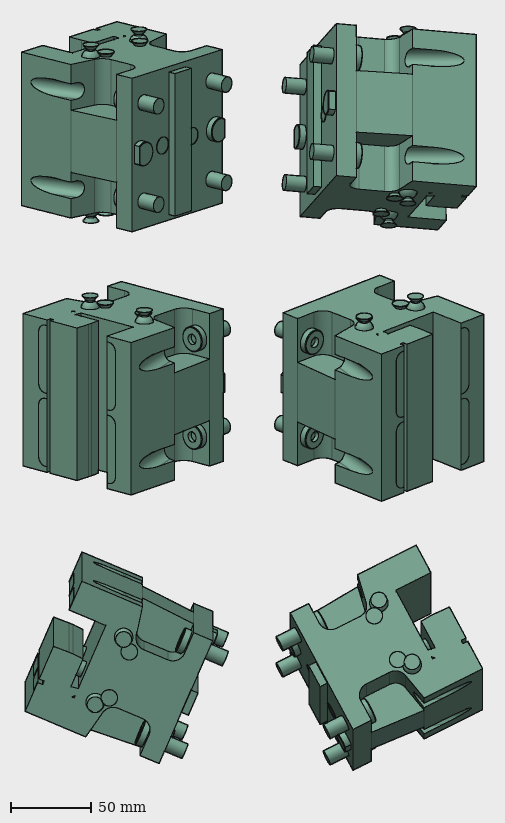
import cadquery as cq
import math


BODY_HEIGHT = 100.0
TOP_Z = BODY_HEIGHT / 2
FLANGE_FACE_X = 90.0
FLANGE_THICKNESS = 13.0
FLANGE_BACK_X = FLANGE_FACE_X - FLANGE_THICKNESS
HEAD_END_X = 41.2
HEAD_HALF_WIDTH = 45.0
FLANGE_HALF_WIDTH = 42.5

WEB_HALF = 20.25
POCKET_WALL_RUN = 4.9
POCKET_FILLET = 8.0

SLOT_HALF_WIDTH = 25.0
SLOT_DEPTH = 24.8
WEDGE_LENGTH = 20.1
GAP_OUTER_Y = 19.3
GAP_INNER_Y = 18.5
WEDGE_CREST_START_X = 10.5
WEDGE_CREST_END_X = 13.2
WEDGE_CREST_RISE = 0.4
WEDGE_TIP_CHAMFER = 1.6
GROOVE_WIDTH = 2.4
GROOVE_DEPTH = 3.4
CLAMP_SCREW_DIAMETER = 10.3
CLAMP_SCREW_Y = 10.4
CLAMP_SCREW_Z = 25.0

PANEL_WIDTH = 64.0
PANEL_HEIGHT = 44.5
PANEL_Z = 24.0
PANEL_RADIUS = 5.5
PANEL_DEPTH = 0.1

BOLT_OFFSET = 32.0
BOLT_DIAMETER = 10.0
BOLT_END_X = 103.0
BOLT_HEAD_DIAMETER = 16.2
BOLT_HEAD_HEIGHT = 4.7
BOLT_HEAD_CHAMFER = 0.5
SOCKET_DIAMETER = 6.6
SOCKET_DEPTH = 3.0
FLUTE_RADIUS = 5.35
FLUTE_ANGLE = 16.5
FLUTE_NOSE_X = 7.9
FLUTE_END_X = 55.0

KEY_WIDTH = 15.4
LONG_KEY_LENGTH = 92.8
LONG_KEY_HEIGHT = 5.0
SIDE_KEY_Y = 35.25
SIDE_KEY_FLAT_Y = 40.2
SIDE_KEY_HEIGHT = 4.5
SIDE_KEY_CHAMFER = 0.4
SEAL_DIAMETER = 11.0
SEAL_HEIGHT = 0.4
SEAL_Y = 13.9

NOZZLE_X = 38.0
NOZZLE_Y = 22.55
NOZZLE_TOP_Z = 57.55
BALL_RADIUS = 6.0
BALL_CENTRE_Z = 48.5
BALL_FLAT_Z = 53.8
NECK_RADIUS = 2.8
NECK_TOP_Z = 54.7
FLARE_RADIUS = 5.0
RIM_THICKNESS = 0.2
PLUG_X = 44.7
PLUG_Y = 15.9
PLUG_TOP_Z = 52.8
PLUG_BASE_RADIUS = 3.4
PLUG_RIM_RADIUS = 5.2
PLUG_RIM_THICKNESS = 0.4
ROOT = 1.0
CLEAR = 5.0


def prism(points, bottom_z=-TOP_Z, height=BODY_HEIGHT):
    return cq.Workplane("XY").workplane(offset=bottom_z).polyline(points).close().extrude(height)


def x_cylinder(start_x, end_x, diameter, y, z):
    return cq.Workplane("YZ", origin=(start_x, y, z)).circle(diameter / 2).extrude(end_x - start_x)


def box_between(low, high):
    size = [b - a for a, b in zip(low, high)]
    return cq.Workplane("XY").box(*size, centered=False).translate(low)


def with_mirror(shape, plane):
    return shape.union(shape.mirror(plane))


def make_body():
    upper_side = [
        (0, HEAD_HALF_WIDTH),
        (HEAD_END_X, HEAD_HALF_WIDTH),
        (FLANGE_BACK_X, FLANGE_HALF_WIDTH),
        (FLANGE_FACE_X, FLANGE_HALF_WIDTH),
    ]
    lower_side = [(x, -y) for x, y in reversed(upper_side)]
    return prism(upper_side + lower_side)


def make_slot():
    """Tool slot, with the wedge filling its +Y half and a narrow gap behind the wedge."""
    return prism([
        (-CLEAR, 0),
        (0, 0),
        (WEDGE_CREST_START_X, -WEDGE_CREST_RISE),
        (WEDGE_CREST_END_X, -WEDGE_CREST_RISE),
        (WEDGE_LENGTH, 0),
        (WEDGE_LENGTH, GAP_OUTER_Y),
        (SLOT_DEPTH, GAP_INNER_Y),
        (SLOT_DEPTH, -SLOT_HALF_WIDTH),
        (-CLEAR, -SLOT_HALF_WIDTH),
    ])


def make_wedge_outline_cuts():
    """Groove beside the wedge and the small triangle left by its chamfered inner corner."""
    groove = box_between(
        (-CLEAR, SLOT_HALF_WIDTH - GROOVE_WIDTH, -TOP_Z),
        (GROOVE_DEPTH, SLOT_HALF_WIDTH, TOP_Z),
    )
    corner = prism([
        (SLOT_DEPTH, SLOT_HALF_WIDTH),
        (SLOT_DEPTH - WEDGE_TIP_CHAMFER, SLOT_HALF_WIDTH),
        (SLOT_DEPTH, SLOT_HALF_WIDTH - WEDGE_TIP_CHAMFER),
    ])
    return groove.union(corner)


def make_panels():
    """Rounded shallow panels, kept only outside the width of the tool slot."""
    panels = (
        cq.Workplane("YZ")
        .pushPoints([(0, -PANEL_Z), (0, PANEL_Z)])
        .rect(PANEL_WIDTH, PANEL_HEIGHT)
        .extrude(PANEL_DEPTH)
        .edges("|X")
        .fillet(PANEL_RADIUS)
    )
    slot_width = box_between((0, -SLOT_HALF_WIDTH, -TOP_Z), (PANEL_DEPTH, SLOT_HALF_WIDTH, TOP_Z))
    return panels.cut(slot_width)


def make_bolt_pockets():
    outside_y = HEAD_HALF_WIDTH + CLEAR
    wall_slope = POCKET_WALL_RUN / (HEAD_HALF_WIDTH - WEB_HALF)
    pocket = prism(
        [
            (HEAD_END_X + POCKET_WALL_RUN, WEB_HALF),
            (FLANGE_BACK_X, WEB_HALF),
            (FLANGE_BACK_X, outside_y),
            (HEAD_END_X - wall_slope * CLEAR, outside_y),
        ],
        bottom_z=WEB_HALF,
        height=TOP_Z - WEB_HALF,
    )
    pocket = pocket.edges("|Z").edges("<Y").fillet(POCKET_FILLET)
    pair = with_mirror(pocket, "XY")
    return with_mirror(pair, "XZ")


def make_flutes():
    """Slanted flutes with round floors and straight sides, giving a key access to the bolt heads."""
    angle = math.radians(FLUTE_ANGLE)
    nose = cq.Vector(FLUTE_NOSE_X, HEAD_HALF_WIDTH, BOLT_OFFSET)
    across = cq.Vector(math.sin(angle), math.cos(angle), 0)
    along = cq.Vector(math.cos(angle), -math.sin(angle), 0)
    start = nose + across * FLUTE_RADIUS
    length = (FLUTE_END_X - start.x) / along.x
    floor = cq.Workplane(cq.Solid.makeCylinder(FLUTE_RADIUS, length, start, along))
    rise = length * math.sin(angle)
    open_side = (
        cq.Workplane(cq.Plane(origin=start.toTuple(), xDir=along.toTuple(), normal=(0, 0, 1)))
        .box(length, rise, 2 * FLUTE_RADIUS, centered=(False, False, True))
    )
    flute = floor.union(open_side)
    pair = with_mirror(flute, "XY")
    return with_mirror(pair, "XZ")


def make_bolt(y, z):
    head_x = FLANGE_BACK_X - BOLT_HEAD_HEIGHT
    head = x_cylinder(head_x, FLANGE_BACK_X, BOLT_HEAD_DIAMETER, y, z)
    head = head.faces("<X").edges().chamfer(BOLT_HEAD_CHAMFER)
    shank = x_cylinder(FLANGE_BACK_X - ROOT, BOLT_END_X, BOLT_DIAMETER, y, z)
    socket = x_cylinder(head_x, head_x + SOCKET_DEPTH, SOCKET_DIAMETER, y, z)
    return head.union(shank).cut(socket)


def make_long_key():
    return box_between(
        (FLANGE_FACE_X - ROOT, -KEY_WIDTH / 2, -LONG_KEY_LENGTH / 2),
        (FLANGE_FACE_X + LONG_KEY_HEIGHT, KEY_WIDTH / 2, LONG_KEY_LENGTH / 2),
    )


def make_side_keys():
    """Round keys, each with a flat on its outer side."""
    end_x = FLANGE_FACE_X + SIDE_KEY_HEIGHT
    disc = x_cylinder(FLANGE_FACE_X - ROOT, end_x, KEY_WIDTH, SIDE_KEY_Y, 0)
    beyond_flat = box_between(
        (FLANGE_FACE_X - CLEAR, SIDE_KEY_FLAT_Y, -KEY_WIDTH),
        (end_x + CLEAR, SIDE_KEY_FLAT_Y + KEY_WIDTH, KEY_WIDTH),
    )
    key = disc.cut(beyond_flat)
    key = key.faces(">X").edges().chamfer(SIDE_KEY_CHAMFER)
    return with_mirror(key, "XZ")


def make_nozzle():
    """Ball nozzle on the +Z, +Y corner: truncated ball, short neck and flared mouth."""
    base_z = TOP_Z - ROOT
    base_radius = math.sqrt(BALL_RADIUS**2 - (base_z - BALL_CENTRE_Z) ** 2)
    flat_radius = math.sqrt(BALL_RADIUS**2 - (BALL_FLAT_Z - BALL_CENTRE_Z) ** 2)
    middle_z = (base_z + BALL_FLAT_Z) / 2
    middle_radius = math.sqrt(BALL_RADIUS**2 - (middle_z - BALL_CENTRE_Z) ** 2)
    profile = (
        cq.Workplane("XZ")
        .moveTo(0, base_z)
        .lineTo(base_radius, base_z)
        .threePointArc((middle_radius, middle_z), (flat_radius, BALL_FLAT_Z))
        .lineTo(NECK_RADIUS, BALL_FLAT_Z)
        .lineTo(NECK_RADIUS, NECK_TOP_Z)
        .lineTo(FLARE_RADIUS, NOZZLE_TOP_Z - RIM_THICKNESS)
        .lineTo(FLARE_RADIUS, NOZZLE_TOP_Z)
        .lineTo(0, NOZZLE_TOP_Z)
        .close()
    )
    return profile.revolve(360, (0, 0, 0), (0, 1, 0)).translate((NOZZLE_X, NOZZLE_Y, 0))


def make_plug():
    """Flared plug beside the nozzle."""
    base_z = TOP_Z - ROOT
    profile = cq.Workplane("XZ").polyline([
        (0, base_z),
        (PLUG_BASE_RADIUS, base_z),
        (PLUG_BASE_RADIUS, TOP_Z),
        (PLUG_RIM_RADIUS, PLUG_TOP_Z - PLUG_RIM_THICKNESS),
        (PLUG_RIM_RADIUS, PLUG_TOP_Z),
        (0, PLUG_TOP_Z),
    ]).close()
    return profile.revolve(360, (0, 0, 0), (0, 1, 0)).translate((PLUG_X, PLUG_Y, 0))


result = make_body()
for cutter in (make_slot(), make_wedge_outline_cuts(), make_panels(), make_bolt_pockets(), make_flutes()):
    result = result.cut(cutter)

result = result.union(make_long_key()).union(make_side_keys())

for side in (-1, 1):
    seal = x_cylinder(FLANGE_FACE_X - ROOT, FLANGE_FACE_X + SEAL_HEIGHT, SEAL_DIAMETER, side * SEAL_Y, 0)
    clamp_screw = x_cylinder(
        WEDGE_LENGTH - ROOT,
        SLOT_DEPTH + ROOT,
        CLAMP_SCREW_DIAMETER,
        CLAMP_SCREW_Y,
        side * CLAMP_SCREW_Z,
    )
    result = result.union(seal).union(clamp_screw)

for y in (-BOLT_OFFSET, BOLT_OFFSET):
    for z in (-BOLT_OFFSET, BOLT_OFFSET):
        result = result.union(make_bolt(y, z))

for fitting in (make_nozzle(), make_plug()):
    pair = with_mirror(fitting, "XY")
    result = result.union(with_mirror(pair, "XZ"))